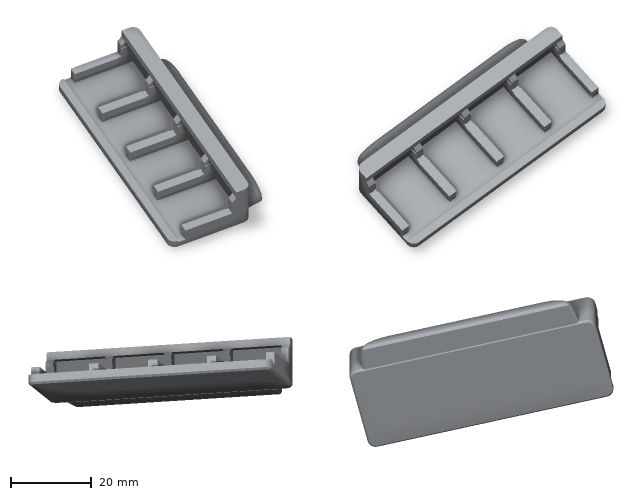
import cadquery as cq
import math

length = 62.6
overall_depth = 28.25
height = 12.15

body_depth = 22.3
corner_radius = 2.0
bottom_chamfer = 0.5
floor_height = 2.0
front_lip_depth = 2.0
front_lip_height = 2.5
wall_thickness = 2.05
hood_depth = 2.05
hood_thickness = 2.0
wall_front = body_depth - wall_thickness
hood_front = wall_front - hood_depth
hood_bottom = height - hood_thickness

divider_count = 5
divider_width = 2.0
divider_pitch = (length - divider_width) / (divider_count - 1)
rib_front = 4.0
rib_top = 5.2
post_overhang = 1.1
post_front = hood_front - post_overhang
post_shoulder = hood_bottom - post_overhang

pad_thickness = 0.2
pad_inset = 0.9
rib_pad_lift = 1.25
rib_pad_bottom = floor_height + rib_pad_lift

grip_depth = overall_depth - body_depth
grip_curve_radius = 8.0
grip_curve_top = 11.95
grip_embed = 0.1
grip_half_width_at_wall = 27.6
grip_half_width_at_back = 26.65
grip_flat_half_width = 19.85
grip_chamfer = 0.6
grip_back_fillet = 2.0
grip_section_count = 6


def box(x_min, x_max, y_min, y_max, z_min, z_max):
    """Block between the given limits."""
    size = (x_max - x_min, y_max - y_min, z_max - z_min)
    return cq.Workplane("XY").box(*size, centered=False).translate((x_min, y_min, z_min))


def extrude_side_profile(points, x_min, x_max):
    """Extrude a closed (Y, Z) outline along X."""
    return cq.Workplane("YZ").polyline(points).close().extrude(x_max - x_min).translate((x_min, 0, 0))


def make_tray():
    """Rounded block hollowed to a floor, a front lip and a hooded rear wall."""
    half = length / 2
    block = box(-half, half, 0, body_depth, 0, height)
    block = block.edges("|Z").fillet(corner_radius)
    block = block.faces("<Z").edges().chamfer(bottom_chamfer)
    hollow = [
        (0, front_lip_height),
        (front_lip_depth, front_lip_height),
        (front_lip_depth, floor_height),
        (wall_front, floor_height),
        (wall_front, hood_bottom),
        (hood_front, hood_bottom),
        (hood_front, height),
        (0, height),
    ]
    return block.cut(extrude_side_profile(hollow, -half, half))


def make_divider(x_min, x_max):
    """Rib and post standing on the floor against the rear wall."""
    outline = [
        (rib_front, floor_height),
        (rib_front, rib_top),
        (post_front, rib_top),
        (post_front, post_shoulder),
        (hood_front, hood_bottom),
        (wall_front, hood_bottom),
        (wall_front, floor_height),
    ]
    return extrude_side_profile(outline, x_min, x_max)


def make_pads(x_min, x_max):
    """Blocks through the rib and the post that stand out as pads on their sides."""
    rib_pad = box(x_min, x_max, rib_front, post_front - pad_inset, rib_pad_bottom, rib_top)
    post_pad = box(x_min, x_max, post_front, wall_front - pad_inset, rib_top, post_shoulder - pad_inset)
    return rib_pad, post_pad


def grip_section(distance):
    """Cross-section wire of the grip, with elliptical shoulders, at a distance behind the wall."""
    taper = grip_half_width_at_wall - grip_half_width_at_back
    half_width = grip_half_width_at_wall - taper * distance / grip_depth
    from_arc_centre = grip_curve_radius - grip_embed - distance
    top = grip_curve_top - math.sqrt(grip_curve_radius**2 - from_arc_centre**2)

    diagonal = math.sqrt(0.5)
    middle_x = grip_flat_half_width + (half_width - grip_flat_half_width) * diagonal
    middle_z = grip_chamfer + (top - grip_chamfer) * diagonal
    right_shoulder = [(middle_x, middle_z), (grip_flat_half_width, top)]
    left_shoulder = [(-middle_x, middle_z), (-half_width, grip_chamfer)]
    up, left, down = (0, 1), (-1, 0), (0, -1)

    plane = cq.Plane(origin=(0, body_depth + distance, 0), xDir=(1, 0, 0), normal=(0, -1, 0))
    outline = (
        cq.Workplane(plane)
        .moveTo(grip_chamfer - half_width, 0)
        .lineTo(half_width - grip_chamfer, 0)
        .lineTo(half_width, grip_chamfer)
        .spline(right_shoulder, tangents=[up, left], includeCurrent=True)
        .lineTo(-grip_flat_half_width, top)
        .spline(left_shoulder, tangents=[left, down], includeCurrent=True)
        .close()
    )
    return outline.val()


def make_grip():
    """Loft through sections packed closer near the wall, where the arc is steepest."""
    reach = grip_depth + grip_embed
    fractions = [(i / (grip_section_count - 1)) ** 2 for i in range(grip_section_count)]
    sections = [grip_section(reach * fraction - grip_embed) for fraction in fractions]
    grip = cq.Workplane(cq.Solid.makeLoft(sections))
    grip = grip.faces(">Y").edges("<Z").chamfer(grip_chamfer)
    return grip.faces(">Y").edges("not <Z").fillet(grip_back_fillet)


result = make_tray()
for index in range(divider_count):
    left_side = -length / 2 + index * divider_pitch
    right_side = left_side + divider_width
    result = result.union(make_divider(left_side, right_side))

    pad_left = max(left_side - pad_thickness, -length / 2)
    pad_right = min(right_side + pad_thickness, length / 2)
    for pad in make_pads(pad_left, pad_right):
        result = result.union(pad)
result = result.union(make_grip())